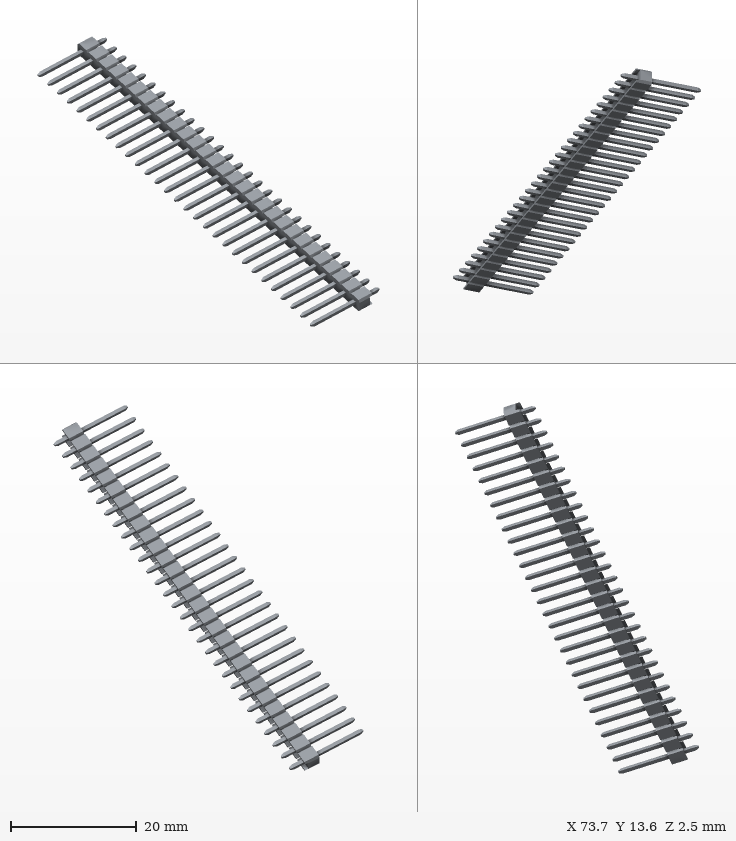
import cadquery as cq


position_count = 29
row_length = 73.65
pitch = row_length / position_count

housing_height = 2.5
housing_depth = 2.65
bevel_width = 0.31
bevel_height = 0.42
channel_depth = 0.625
lip_thickness = 0.34

pin_length = 13.6
pin_width = 0.64
pin_back_overhang = 2.2
tip_length = 0.545
tip_width = pin_width / 2
pin_offset = -0.1

housing_back = pin_length / 2 - pin_back_overhang

cell_centers = [(i + 0.5) * pitch - row_length / 2 for i in range(position_count)]


def make_housing():
    """Row of bevel-cornered cells joined side by side, with a channel along the back."""
    half_pitch = pitch / 2
    half_height = housing_height / 2
    flat_half_width = half_pitch - bevel_width
    side_half_height = half_height - bevel_height

    upper_outline = []
    for x in cell_centers:
        upper_outline.append((x - half_pitch, side_half_height))
        upper_outline.append((x - flat_half_width, half_height))
        upper_outline.append((x + flat_half_width, half_height))
    upper_outline.append((row_length / 2, side_half_height))
    lower_outline = [(x, -z) for x, z in reversed(upper_outline)]

    housing = (
        cq.Workplane("XZ", origin=(0, housing_back, 0))
        .polyline(upper_outline + lower_outline)
        .close()
        .extrude(housing_depth)
    )
    channel = (
        cq.Workplane("XZ", origin=(0, housing_back, 0))
        .rect(row_length, housing_height - 2 * lip_thickness)
        .extrude(channel_depth)
    )
    return housing.cut(channel)


def make_pin():
    """Square pin along Y at X = 0, tapered at both ends."""
    shank_length = pin_length - 2 * tip_length
    pin = cq.Workplane("XY").box(pin_width, shank_length, pin_width)
    for face in (">Y", "<Y"):
        tip = (
            pin.faces(face)
            .workplane(centerOption="CenterOfMass")
            .rect(pin_width, pin_width)
            .workplane(offset=tip_length)
            .rect(tip_width, tip_width)
            .loft(combine=False)
        )
        pin = pin.union(tip)
    return pin


result = make_housing()
pin = make_pin()
for x in cell_centers:
    result = result.union(pin.translate((x + pin_offset, 0, 0)))